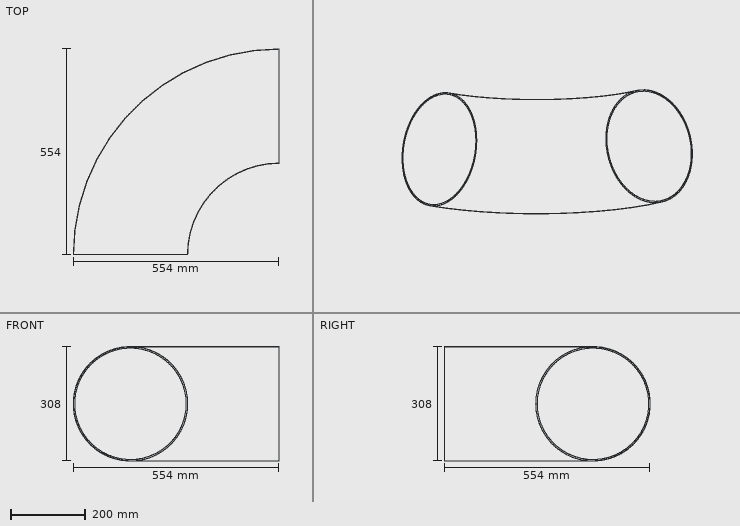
import cadquery as cq

outer_diameter = 308.0
wall_thickness = 4.0
bend_radius = 400.0
bend_angle = 90.0

outer_radius = outer_diameter / 2
inner_radius = outer_radius - wall_thickness


def pipe_elbow():
    """Sweep the pipe ring about a Z axis through the origin, from the -X side round to the +Y side."""
    ring = (
        cq.Workplane("XZ")
        .center(-bend_radius, 0)
        .circle(outer_radius)
        .circle(inner_radius)
    )
    axis_top = (bend_radius, 0)
    axis_bottom = (bend_radius, -1)
    return ring.revolve(bend_angle, axis_top, axis_bottom)


result = pipe_elbow()